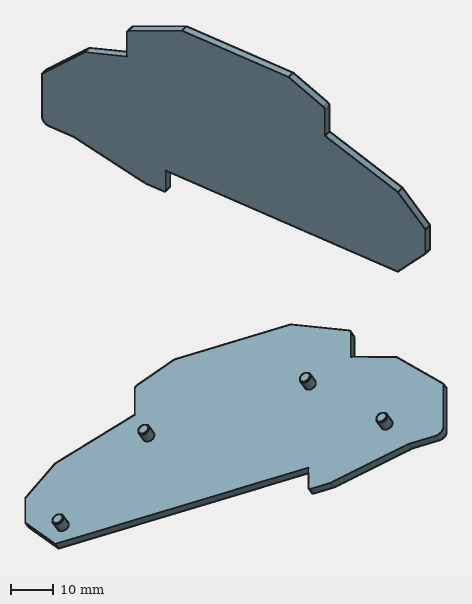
import cadquery as cq

length = 109.5
height = 52.1
thickness = 2.0

lower_edge_z = 6.7
foot_right_x = 35.4
foot_left_x = 29.5
heel_z = 4.7
heel_right_x = 9.1
roof_left_x = 24.2
roof_right_x = 80.8

heel_radius = 2.1
roof_radius = 1.1
foot_radius = 0.5

pin_diameter = 3.0
pin_length = 3.1
pin_chamfer = 0.2
pin_centers = [(14.8, 12.6), (34.8, 31.9), (77.1, 30.9), (99.5, 11.4)]

heel_corner = (0, heel_z)
foot_corner = (foot_right_x, 0)
roof_left_corner = (roof_left_x, 44.7)
roof_right_corner = (roof_right_x, 47.4)

outline = [
    heel_corner,
    (0, 19.9),
    (12.3, 32.4),
    (roof_left_x, 36.7),
    roof_left_corner,
    (40.0, height),
    (70.4, height),
    roof_right_corner,
    (roof_right_x, 38.9),
    (101.6, 31.3),
    (length, 23.4),
    (length, 16.0),
    (101.6, lower_edge_z),
    (foot_right_x, lower_edge_z),
    foot_corner,
    (foot_left_x, 0),
    (heel_right_x, heel_z),
]


def round_corner(body, corner, radius):
    """Fillet the plate edge that runs along Y through an outline corner."""
    x, z = corner
    midpoint = (x, thickness / 2, z)
    edge = cq.selectors.NearestToPointSelector(midpoint)
    return body.edges("|Y").edges(edge).fillet(radius)


def make_plate():
    plate = cq.Workplane("XZ").polyline(outline).close().extrude(-thickness)
    plate = round_corner(plate, heel_corner, heel_radius)
    plate = round_corner(plate, foot_corner, foot_radius)
    for corner in (roof_left_corner, roof_right_corner):
        plate = round_corner(plate, corner, roof_radius)
    return plate


def make_pins():
    pins = cq.Workplane("XZ").pushPoints(pin_centers).circle(pin_diameter / 2)
    pins = pins.extrude(-(thickness + pin_length))
    return pins.faces(">Y").chamfer(pin_chamfer)


result = make_plate().union(make_pins())